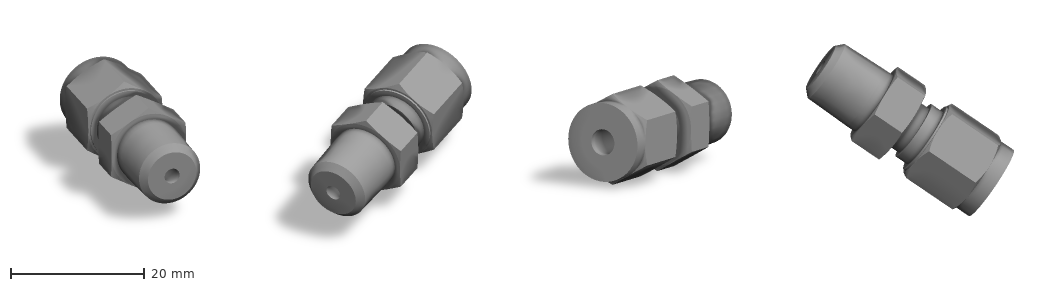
import cadquery as cq
import math

total_length = 31.2
hex_across_flats = 12.0

nut_hex_start = 2.37
nut_hex_end = 11.9
nut_end = 12.17
shoulder_end = 14.2
body_hex_start = 16.07
body_hex_end = 21.55
taper_start = 23.05
tip_chamfer_start = 30.17

collar_diameter = hex_across_flats
nut_lip_diameter = 11.4
shoulder_diameter = 9.52
neck_diameter = 8.02
thread_diameter = 10.23
thread_end_diameter = 9.85
tip_diameter = 7.77

socket_diameter = 4.0
socket_depth = 13.7
bore_diameter = 2.4

nut_chamfer_angle = 30.0
body_chamfer_angle = 15.0
chamfer_circle_diameter = hex_across_flats


def revolve_about_x(profile):
    """Solid of revolution from (x, radius) points, closed along the X axis."""
    first_x = profile[0][0]
    last_x = profile[-1][0]
    outline = [(first_x, 0)] + profile + [(last_x, 0)]
    return cq.Workplane("XY").polyline(outline).close().revolve(360, (0, 0, 0), (1, 0, 0))


def cylinder(start, end, diameter):
    """Cylinder about the X axis."""
    return cq.Workplane("YZ", origin=(start, 0, 0)).circle(diameter / 2).extrude(end - start)


def chamfered_hex(start, end, chamfer_angle):
    """Hexagon with corners up and down, its corners cut by a cone at both ends."""
    corner_radius = hex_across_flats / math.sqrt(3)
    face_radius = chamfer_circle_diameter / 2
    chamfer_length = (corner_radius - face_radius) * math.tan(math.radians(chamfer_angle))
    prism = (
        cq.Workplane("YZ", origin=(start, 0, 0))
        .transformed(rotate=(0, 0, 90))
        .polygon(6, 2 * corner_radius)
        .extrude(end - start)
    )
    envelope = revolve_about_x([
        (start, face_radius),
        (start + chamfer_length, corner_radius),
        (end - chamfer_length, corner_radius),
        (end, face_radius),
    ])
    return prism.intersect(envelope)


def nut():
    """Nut: round collar, hexagon and a thin lip behind it."""
    collar = cylinder(0, nut_hex_start, collar_diameter)
    hexagon = chamfered_hex(nut_hex_start, nut_hex_end, nut_chamfer_angle)
    lip = cylinder(nut_hex_end, nut_end, nut_lip_diameter)
    return collar.union(hexagon).union(lip)


def body():
    """Fitting body: shoulder, neck and hexagon."""
    shoulder = cylinder(nut_end, shoulder_end, shoulder_diameter)
    neck = cylinder(shoulder_end, body_hex_start, neck_diameter)
    hexagon = chamfered_hex(body_hex_start, body_hex_end, body_chamfer_angle)
    return shoulder.union(neck).union(hexagon)


def thread():
    """Pipe thread blank: short cylinder, slight taper and chamfered tip."""
    return revolve_about_x([
        (body_hex_end, thread_diameter / 2),
        (taper_start, thread_diameter / 2),
        (tip_chamfer_start, thread_end_diameter / 2),
        (total_length, tip_diameter / 2),
    ])


socket = cylinder(0, socket_depth, socket_diameter)
bore = cylinder(0, total_length, bore_diameter)

result = nut().union(body()).union(thread()).cut(socket).cut(bore)